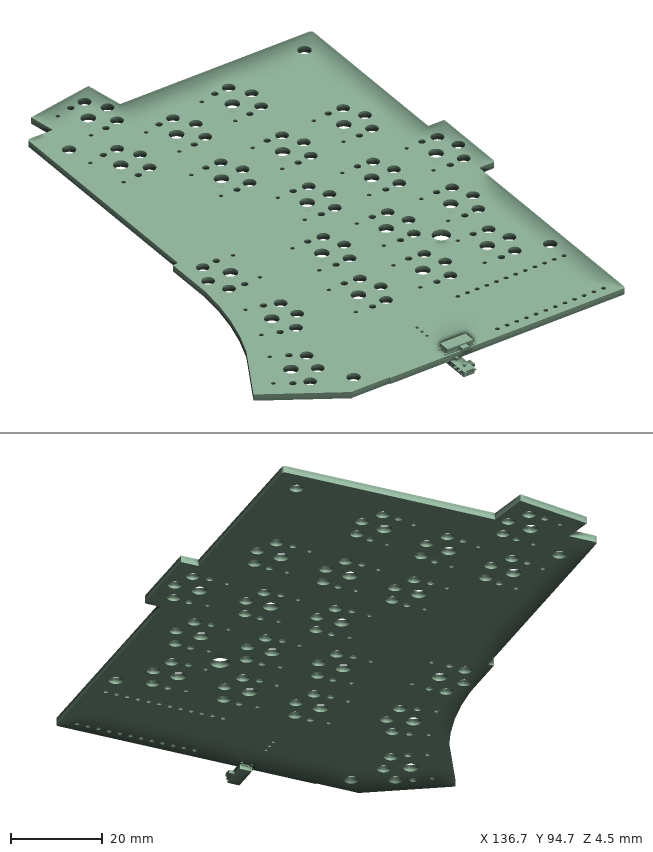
import cadquery as cq
import math

overall_height = 4.5
board_thickness = 1.6
case_height = (overall_height - board_thickness) / 2

board_width = 121.2
board_depth = 75.2
board_corner_radius = 0.7
top_tab_left = 45.0
top_tab_right = 64.6
top_tab_top = 79.4
thumb_left = 58.2
thumb_bottom = -1.4
thumb_arc_start_x = 70.5
thumb_arc_middle = (83.1, -3.1)
thumb_arc_end = (95.0, -7.1)
thumb_tip = (109.8, -15.3)
thumb_corner = (121.1, 3.0)
right_edge_step_y = 13.0
right_edge_step = 0.3

post_hole_diameter = 3.4
socket_hole_diameter = 3.0
socket_top_y = 5.9
socket_side_x = 5.0
socket_side_y = 3.8
peg_hole_diameter = 1.6
peg_hole_x = 5.5
contact_hole_diameter = 1.0
contact_hole_x = 5.2
contact_hole_y = -4.2

column_span = 34.0
row_pitch = column_span / 2
column_middle_keys = [
    (16.7, 28.0, 10),
    (35.3, 43.3, 4),
    (54.7, 53.6, 0),
    (72.7, 45.1, 0),
    (90.6, 42.5, 0),
]
corner_key = (0.5, 15.7, 10)
corner_tab_half_width = 8.9
corner_tab_half_depth = 8.7
thumb_keys = [(67.7, 7.4, 180), (87.6, 4.6, -15), (106.2, -3.0, -30)]

mounting_hole_diameter = 3.1
mounting_holes = [(5.3, 69.6), (97.9, 71.2), (8.3, 5.3), (116.5, 6.5)]
reset_hole_diameter = 4.2
reset_hole = (81.6, 53.6)
header_hole_diameter = 1.1
header_columns_x = [103.3, 118.6]
header_hole_count = 12
header_top_y = 71.1
header_span = 28.0
battery_hole_diameter = 0.75
battery_hole_middle = (110.3, 28.8)
battery_hole_pitch = 1.9

case_length = 6.7
case_width = 2.9
wall = 0.34
panel_recess = 0.1
foot_span = 7.9
foot_width = 0.4
foot_thickness = 0.3
pin_length = 0.8
pin_width = 0.48
pin_thickness = 0.3
pin_positions = [-2.25, -0.75, 2.25]
peg_diameter = 0.75
peg_length = 0.62
peg_spacing = 3.0
lever_x = -0.7
lever_length = 1.8
lever_reach = 1.2
lever_bottom = wall
lever_height = case_height - 2 * wall

upper_switch_place = (119.5, 31.7)
lower_switch_place = (123.0, 30.3)


def offset_from_key(key, x, y):
    """Board position of a point given in the tilted frame of a key."""
    key_x, key_y, tilt = key
    angle = math.radians(tilt)
    return (
        key_x + x * math.cos(angle) - y * math.sin(angle),
        key_y + x * math.sin(angle) + y * math.cos(angle),
    )


def all_keys():
    keys = [corner_key, *thumb_keys]
    for middle_key in column_middle_keys:
        for row in (-1, 0, 1):
            x, y = offset_from_key(middle_key, 0, row * row_pitch)
            keys.append((x, y, middle_key[2]))
    return keys


def through_holes(points, diameter):
    return cq.Workplane("XY").pushPoints(points).circle(diameter / 2).extrude(board_thickness)


def main_plate():
    """Main rectangle that runs out into the curved thumb area at its lower right."""
    right_x = board_width - right_edge_step
    plate = (
        cq.Workplane("XY")
        .lineTo(thumb_left, 0)
        .lineTo(thumb_left, thumb_bottom)
        .lineTo(thumb_arc_start_x, thumb_bottom)
        .threePointArc(thumb_arc_middle, thumb_arc_end)
        .lineTo(*thumb_tip)
        .lineTo(*thumb_corner)
        .lineTo(right_x, thumb_corner[1] + right_edge_step)
        .lineTo(right_x, right_edge_step_y)
        .lineTo(board_width, right_edge_step_y)
        .lineTo(board_width, board_depth)
        .lineTo(0, board_depth)
        .close()
        .extrude(board_thickness)
    )
    return plate.edges("|Z").edges("<X or >Y").fillet(board_corner_radius)


def top_tab():
    return (
        cq.Workplane("XY")
        .center(top_tab_left, board_depth / 2)
        .rect(top_tab_right - top_tab_left, top_tab_top - board_depth / 2, centered=False)
        .extrude(board_thickness)
        .edges("|Z and >X and >Y")
        .fillet(board_corner_radius)
    )


def corner_tab():
    key_x, key_y, tilt = corner_key
    return (
        cq.Workplane("XY")
        .rect(2 * corner_tab_half_width, 2 * corner_tab_half_depth)
        .extrude(board_thickness)
        .rotate((0, 0, 0), (0, 0, 1), tilt)
        .translate((key_x, key_y, 0))
    )


def make_board():
    board = main_plate().union(top_tab()).union(corner_tab())

    key_holes = [
        (post_hole_diameter, [(0, 0)]),
        (socket_hole_diameter, [(0, socket_top_y)]),
        (socket_hole_diameter, [(side * socket_side_x, socket_side_y) for side in (-1, 1)]),
        (peg_hole_diameter, [(side * peg_hole_x, 0) for side in (-1, 1)]),
        (contact_hole_diameter, [(side * contact_hole_x, contact_hole_y) for side in (-1, 1)]),
    ]
    for diameter, offsets in key_holes:
        points = [offset_from_key(key, x, y) for key in all_keys() for x, y in offsets]
        board = board.cut(through_holes(points, diameter))

    header_pitch = header_span / (header_hole_count - 1)
    header_points = [
        (x, header_top_y - index * header_pitch)
        for x in header_columns_x
        for index in range(header_hole_count)
    ]
    battery_x, battery_y = battery_hole_middle
    battery_points = [(battery_x + step * battery_hole_pitch, battery_y) for step in (-1, 0, 1)]

    board = board.cut(through_holes(mounting_holes, mounting_hole_diameter))
    board = board.cut(through_holes([reset_hole], reset_hole_diameter))
    board = board.cut(through_holes(header_points, header_hole_diameter))
    return board.cut(through_holes(battery_points, battery_hole_diameter))


def block(length, width, height, x, y, z):
    """Box centred on x and y with its bottom at z."""
    return cq.Workplane("XY").box(length, width, height, centered=(True, True, False)).translate((x, y, z))


def switch_pegs():
    return (
        cq.Workplane("XY")
        .pushPoints([(-peg_spacing / 2, 0), (peg_spacing / 2, 0)])
        .circle(peg_diameter / 2)
        .extrude(-peg_length)
    )


def switch_case():
    case = block(case_length, case_width, case_height, 0, 0, 0)

    panel_height = case_height - 2 * wall
    long_panel = case_length - 2 * wall
    short_panel = case_width - 2 * wall
    for side in (-1, 1):
        panel_x = side * (case_length - panel_recess) / 2
        panel_y = side * (case_width - panel_recess) / 2
        case = case.cut(block(long_panel, panel_recess, panel_height, 0, panel_y, wall))
        case = case.cut(block(panel_recess, short_panel, panel_height, panel_x, 0, wall))

    foot_y = (case_width - foot_width) / 2
    for side in (-1, 1):
        case = case.union(block(foot_span, foot_width, foot_thickness, 0, side * foot_y, 0))

    pin_y = -(case_width + pin_length) / 2
    for pin_x in pin_positions:
        case = case.union(block(pin_width, pin_length, pin_thickness, pin_x, pin_y, 0))
    return case.union(switch_pegs())


def switch_lever():
    """Sliding lever whose root reaches the bottom of the front panel recess."""
    length = lever_reach + panel_recess
    lever_y = case_width / 2 - panel_recess + length / 2
    return block(lever_length, length, lever_height, lever_x, lever_y, lever_bottom)


def on_upper_face(body):
    """Turn the lever toward +X and stand the switch on the board."""
    x, y = upper_switch_place
    return body.rotate((0, 0, 0), (0, 0, 1), -90).translate((x, y, board_thickness))


def on_lower_face(body):
    """Hang the switch under the board with the lever toward +Y."""
    x, y = lower_switch_place
    return body.rotate((0, 0, 0), (0, 1, 0), 180).translate((x, y, 0))


board = make_board()
cases = []
levers = []
for place in (on_upper_face, on_lower_face):
    board = board.cut(place(switch_pegs()))
    cases.append(place(switch_case()))
    levers.append(place(switch_lever()))

result = cq.Compound.makeCompound(
    [board.val(), *[case.val() for case in cases], *[lever.val() for lever in levers]]
)